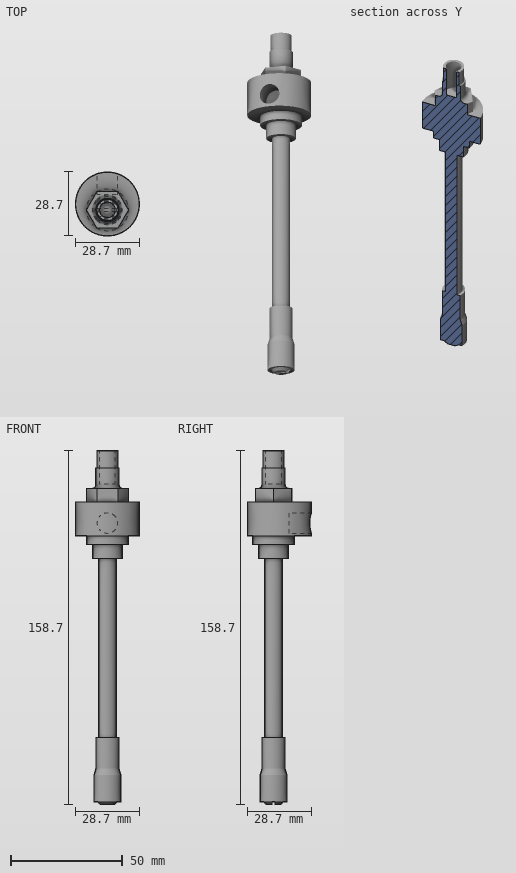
import cadquery as cq
import math

body_offset_y = 2.65

tip_end_diameter = 6.4
tip_root_diameter = 8.8
end_cap_diameter = 12.1
sleeve_diameter = 10.4
tube_diameter = 8.0
lower_collar_diameter = 13.3
upper_collar_diameter = 18.8
body_diameter = 28.7
hex_across_flats = 16.4
neck_diameter = 10.5
spigot_diameter = 9.5
hex_sides = 6

tip_top = 1.2
end_cap_top = 13.2
sleeve_taper_top = 16.0
sleeve_top = 30.1
tube_top = 110.3
lower_collar_top = 116.5
body_bottom = 120.4
body_top = 135.7
hex_top = 141.7
neck_top = 151.0
overall_height = 158.7

neck_fillet_radius = 1.75

slot_width = 1.2

bore_diameter = 7.0
bore_depth = 15.0

port_diameter = 9.2
port_depth = 10.0
port_height = 126.2


def cylinder(diameter, bottom, top, center_y=0.0):
    """Upright cylinder between two heights."""
    base = cq.Workplane("XY", origin=(0, center_y, bottom))
    return base.circle(diameter / 2).extrude(top - bottom)


def cone(bottom_diameter, top_diameter, bottom, top):
    """Upright truncated cone on the stem axis."""
    base = cq.Workplane("XY", origin=(0, 0, bottom)).circle(bottom_diameter / 2)
    return base.workplane(offset=top - bottom).circle(top_diameter / 2).loft()


def slotted_tip():
    """Tapered bottom tip split in two by a slot along X."""
    tip = cone(tip_end_diameter, tip_root_diameter, 0, tip_top)
    slot = cq.Workplane("XY").box(tip_root_diameter, slot_width, tip_top, centered=(True, True, False))
    return tip.cut(slot)


def lower_stem():
    """End cap, tapered sleeve, tube and the two collars below the body."""
    stem = cylinder(end_cap_diameter, tip_top, end_cap_top)
    stem = stem.union(cone(end_cap_diameter, sleeve_diameter, end_cap_top, sleeve_taper_top))
    stem = stem.union(cylinder(sleeve_diameter, sleeve_taper_top, sleeve_top))
    stem = stem.union(cylinder(tube_diameter, sleeve_top, tube_top))
    stem = stem.union(cylinder(lower_collar_diameter, tube_top, lower_collar_top))
    return stem.union(cylinder(upper_collar_diameter, lower_collar_top, body_bottom))


def ported_body():
    """Round body, set off from the stem, with a blind port in its +Y side."""
    body = cylinder(body_diameter, body_bottom, body_top, body_offset_y)
    port_mouth_y = body_offset_y + body_diameter / 2
    port_plane = cq.Workplane("XZ", origin=(0, port_mouth_y, port_height))
    port = port_plane.circle(port_diameter / 2).extrude(port_depth)
    return body.cut(port)


def hexagon():
    """Hexagon on top of the body, with two flats square to Y."""
    across_corners = hex_across_flats / math.cos(math.pi / hex_sides)
    base = cq.Workplane("XY", origin=(0, 0, body_top))
    return base.polygon(hex_sides, across_corners).extrude(hex_top - body_top)


def filleted_neck():
    """Neck that flares into the hexagon through a concave fillet."""
    radius = neck_diameter / 2
    fillet_top = hex_top + neck_fillet_radius
    arc_middle_offset = neck_fillet_radius * (1 - math.sin(math.pi / 4))
    profile = (
        cq.Workplane("XZ")
        .moveTo(0, hex_top)
        .lineTo(radius + neck_fillet_radius, hex_top)
        .threePointArc((radius + arc_middle_offset, hex_top + arc_middle_offset), (radius, fillet_top))
        .lineTo(radius, neck_top)
        .lineTo(0, neck_top)
        .close()
    )
    return profile.revolve(360, (0, 0), (0, 1))


def top_bore():
    """Blind bore opening at the top of the spigot."""
    return cylinder(bore_diameter, overall_height - bore_depth, overall_height)


result = slotted_tip().union(lower_stem()).union(ported_body()).union(hexagon())
result = result.union(filleted_neck())
result = result.union(cylinder(spigot_diameter, neck_top, overall_height))
result = result.cut(top_bore())